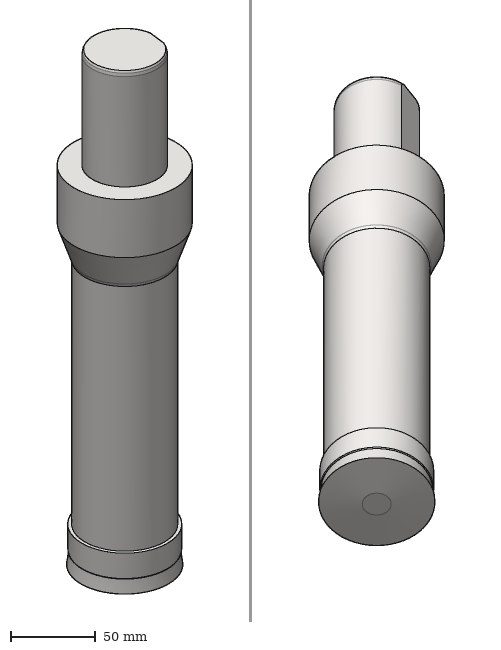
import cadquery as cq

TOTAL_HEIGHT = 357.0

ROD_RADIUS = 50.7 / 2
FLAT_OFFSET = 23.2
FLAT_RISE = 4.3
BEVEL_BOTTOM = 353.5
BEVEL_MIDDLE = 355.5
BEVEL_MIDDLE_RADIUS = 25.0
ROD_TOP_RADIUS = 24.3

COLLAR_RADIUS = 80.0 / 2
TUBE_RADIUS = 63.0 / 2
NECK_RADIUS = 32.0
RING_RADIUS = 67.5 / 2
BASE_FLAT_RADIUS = 8.5
SKIRT_RADIUS = 69.0 / 2
SKIRT_TOP_RADIUS = 33.2

COLLAR_TOP = 277.5
COLLAR_BOTTOM = 237.5
TAPER_BOTTOM = 214.5
NECK_BOTTOM = 212.5
RING_TOP = 30.0
RING_BOTTOM = 12.5
SKIRT_TOP = 11.8
BASE_CONE_HEIGHT = 2.0

BORE_BOTTOM = COLLAR_BOTTOM


def make_rod():
    """Round rod with a double-beveled top edge and one long flat on its +Y side."""
    rod = (
        cq.Workplane("XZ")
        .moveTo(0, BORE_BOTTOM)
        .lineTo(ROD_RADIUS, BORE_BOTTOM)
        .lineTo(ROD_RADIUS, BEVEL_BOTTOM)
        .lineTo(BEVEL_MIDDLE_RADIUS, BEVEL_MIDDLE)
        .lineTo(ROD_TOP_RADIUS, TOTAL_HEIGHT)
        .lineTo(0, TOTAL_HEIGHT)
        .close()
        .revolve(360, (0, 0, 0), (0, 1, 0))
    )
    flat_bottom = COLLAR_TOP + FLAT_RISE
    flat_cut = (
        cq.Workplane("XY")
        .box(2 * ROD_RADIUS, ROD_RADIUS, TOTAL_HEIGHT - flat_bottom, centered=(True, False, False))
        .translate((0, FLAT_OFFSET, flat_bottom))
    )
    return rod.cut(flat_cut)


def make_housing():
    """Revolved tube with a tapered collar, base ring, flared skirt and conical base."""
    body = (
        cq.Workplane("XZ")
        .moveTo(0, 0)
        .lineTo(BASE_FLAT_RADIUS, 0)
        .lineTo(SKIRT_RADIUS, BASE_CONE_HEIGHT)
        .lineTo(SKIRT_TOP_RADIUS, SKIRT_TOP)
        .lineTo(RING_RADIUS, RING_BOTTOM)
        .lineTo(RING_RADIUS, RING_TOP)
        .lineTo(TUBE_RADIUS, RING_TOP)
        .lineTo(TUBE_RADIUS, NECK_BOTTOM)
        .lineTo(NECK_RADIUS, TAPER_BOTTOM)
        .lineTo(COLLAR_RADIUS, COLLAR_BOTTOM)
        .lineTo(COLLAR_RADIUS, COLLAR_TOP)
        .lineTo(0, COLLAR_TOP)
        .close()
        .revolve(360, (0, 0, 0), (0, 1, 0))
    )
    bore = (
        cq.Workplane("XY")
        .workplane(offset=BORE_BOTTOM)
        .circle(ROD_RADIUS)
        .extrude(COLLAR_TOP - BORE_BOTTOM)
    )
    return body.cut(bore)


rod = make_rod()
housing = make_housing()

result = cq.Compound.makeCompound([rod.val(), housing.val()])